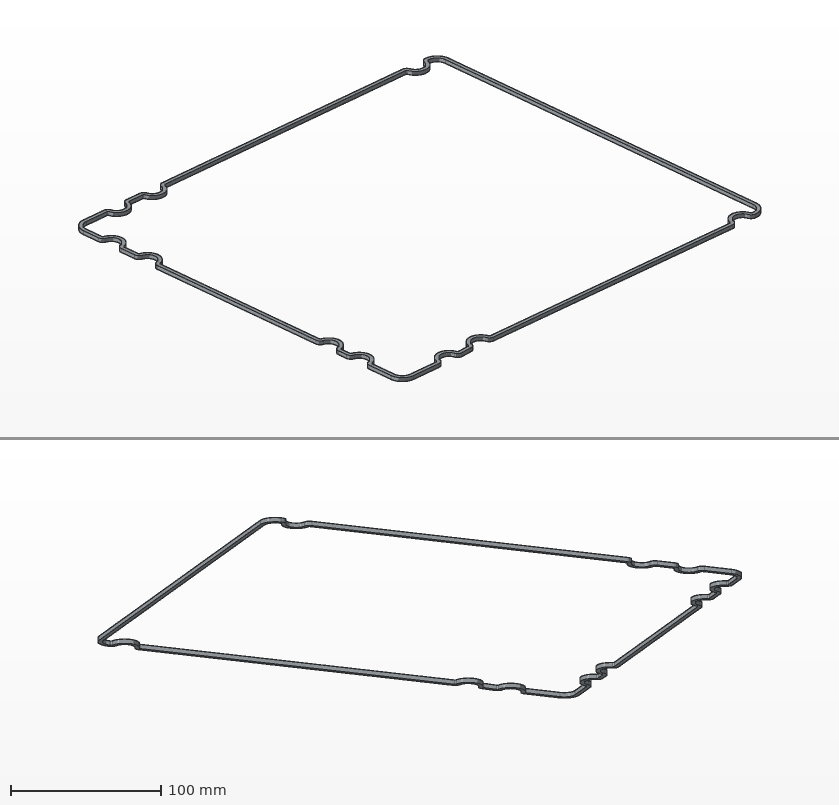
import cadquery as cq
import math

width = 310.7
length = 344.0
strip = 3.0
corner_radius = 10.5

notch_radius = 7.0
notch_center_depth = 1.5
mouth_radius = 4.0
left_notch_y = (150.0, -97.7, -131.5)
right_top_y = 150.0
right_middle_y = -96.0
right_bottom_y = -126.5
bottom_notch_x = (-119.8, -85.7, 84.5, 113.5)

lean = 0.7

half_width = width / 2
half_length = length / 2
right_notch_places = (
    (half_width, right_top_y),
    (half_width - lean, right_middle_y),
    (half_width, right_bottom_y),
)

center_distance = notch_radius + mouth_radius
center_rise = mouth_radius - notch_center_depth
mouth_half_width = math.sqrt(center_distance**2 - center_rise**2)


def notch_cutter(inset):
    """Notch opening toward -Y from the edge y = 0, seen on an outline moved inward by inset."""
    big_radius = notch_radius + inset
    touch_x = mouth_half_width * big_radius / center_distance
    touch_y = notch_center_depth + center_rise * big_radius / center_distance

    small_radius = mouth_radius - inset
    toward_notch = math.atan2(-center_rise, -mouth_half_width)
    middle_angle = (toward_notch - math.pi / 2) / 2
    middle_x = mouth_half_width + small_radius * math.cos(middle_angle)
    middle_y = mouth_radius + small_radius * math.sin(middle_angle)

    return (
        cq.Workplane("XY")
        .moveTo(mouth_half_width, inset)
        .threePointArc((middle_x, middle_y), (touch_x, touch_y))
        .threePointArc((0, notch_center_depth + big_radius), (-touch_x, touch_y))
        .threePointArc((-middle_x, middle_y), (-mouth_half_width, inset))
        .lineTo(-mouth_half_width, -strip)
        .lineTo(mouth_half_width, -strip)
        .close()
        .extrude(strip / 2, both=True)
    )


def leaning_wall_cutter(inset):
    """Sliver outside the right wall, from the top notch in to the middle one and back out."""
    edge = half_width - inset
    return (
        cq.Workplane("XY")
        .polyline(
            [
                (edge, right_top_y - mouth_half_width),
                (edge - lean, right_middle_y + mouth_half_width),
                (edge - lean, right_middle_y - mouth_half_width),
                (edge, right_bottom_y + mouth_half_width),
            ]
        )
        .close()
        .extrude(strip / 2, both=True)
    )


def notched_plate(inset):
    """Plate bounded by the frame outline moved inward by inset."""
    plate = (
        cq.Workplane("XY")
        .rect(width - 2 * inset, length - 2 * inset)
        .extrude(strip / 2, both=True)
        .edges("|Z")
        .fillet(corner_radius - inset)
    )
    plate = plate.cut(leaning_wall_cutter(inset))

    notch = notch_cutter(inset)
    left_notch = notch.rotate((0, 0, 0), (0, 0, 1), -90)
    right_notch = notch.rotate((0, 0, 0), (0, 0, 1), 90)
    for y in left_notch_y:
        plate = plate.cut(left_notch.translate((-half_width, y, 0)))
    for x, y in right_notch_places:
        plate = plate.cut(right_notch.translate((x, y, 0)))
    for x in bottom_notch_x:
        plate = plate.cut(notch.translate((x, -half_length, 0)))
    return plate


result = notched_plate(0).cut(notched_plate(strip))